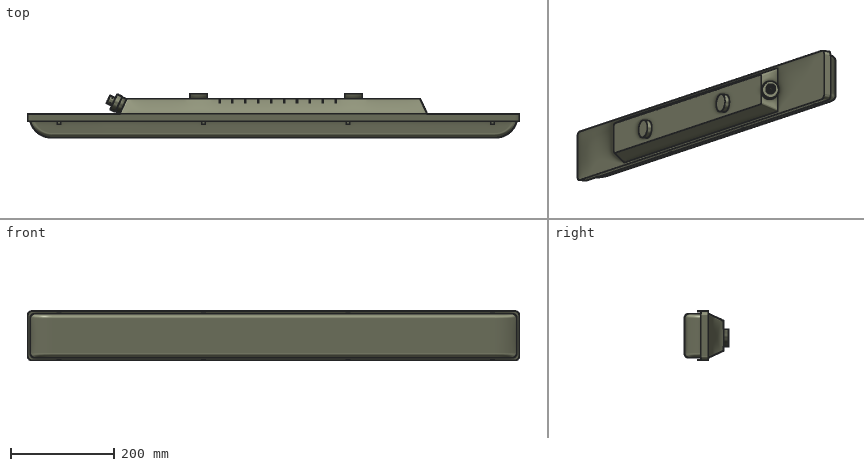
import cadquery as cq
import math

LENGTH = 953.0
WIDTH = 96.0
DEPTH = 86.0

FRAME_DEPTH = 14.5
FRAME_CORNER_RADIUS = 9.0

LENS_INSET = 5.0
LENS_DEPTH = 32.0
LENS_END_RADIUS = 44.0
LENS_EDGE_FILLET = 9.5

HOUSING_LENGTH = 596.0
HOUSING_WIDTH = 86.0
HOUSING_HEIGHT = 29.5
HOUSING_TAPER = 25.0
HOUSING_CORNER_RADIUS = 4.0

FITTING_Z = -4.0
KNOB_DIAMETER = 34.0
KNOB_HEIGHT = DEPTH - LENS_DEPTH - FRAME_DEPTH - HOUSING_HEIGHT
KNOB_SPACING = 300.0
KNOB_CENTER_X = 5.0

NOTCH_COUNT = 10
NOTCH_PITCH = 25.0
NOTCH_CENTER_X = 8.0
NOTCH_WIDTH = 2.0
NOTCH_HEIGHT = 5.0
NOTCH_RIM = 2.0
NOTCH_CUT = 2.0

CLIP_COUNT = 4
CLIP_PITCH = 280.0
CLIP_CENTER_X = 4.5
CLIP_WIDTH = 7.0
CLIP_THICKNESS = 1.5
CLIP_REACH = 5.5

GLAND_BASE_RADIUS = 15.5
GLAND_BASE_END = 9.5
GLAND_NUT_RADIUS = 16.5
GLAND_NUT_END = 20.5
GLAND_TIP_RADIUS = 8.5
GLAND_TIP_END = 32.0
GLAND_MOUTH_RADIUS = 6.0
GLAND_CABLE_RADIUS = 3.5
GLAND_MOUTH_DEPTH = 6.0
GLAND_ROOT = 5.0


def evenly_spaced(count, pitch, center):
    return [center + (i - (count - 1) / 2) * pitch for i in range(count)]


def make_frame():
    plate = cq.Workplane("XY").box(LENGTH, FRAME_DEPTH, WIDTH).translate((0, -FRAME_DEPTH / 2, 0))
    return plate.edges("|Y").fillet(FRAME_CORNER_RADIUS)


def make_lens():
    back_y = -FRAME_DEPTH
    front_y = back_y - LENS_DEPTH
    end_x = LENGTH / 2 - LENS_INSET
    rise = LENS_END_RADIUS - LENS_DEPTH
    arc_center_y = front_y + LENS_END_RADIUS
    arc_run = math.sqrt(LENS_END_RADIUS**2 - rise**2)
    flat_x = end_x - arc_run
    mid_angle = (math.asin(rise / LENS_END_RADIUS) + math.pi / 2) / 2
    mid_x = flat_x + LENS_END_RADIUS * math.cos(mid_angle)
    mid_y = arc_center_y - LENS_END_RADIUS * math.sin(mid_angle)
    lens_width = WIDTH - 2 * LENS_INSET
    body = (
        cq.Workplane("XY")
        .workplane(offset=-lens_width / 2)
        .moveTo(-end_x, back_y)
        .threePointArc((-mid_x, mid_y), (-flat_x, front_y))
        .lineTo(flat_x, front_y)
        .threePointArc((mid_x, mid_y), (end_x, back_y))
        .close()
        .extrude(lens_width)
    )
    rim = body.faces("<Z or >Z").edges().edges("not(>Y)")
    return body.newObject(rim.vals()).fillet(LENS_EDGE_FILLET)


def make_housing():
    body = (
        cq.Workplane("XZ")
        .rect(HOUSING_LENGTH, HOUSING_WIDTH)
        .extrude(-HOUSING_HEIGHT, taper=HOUSING_TAPER)
    )
    return body.edges("not(#Y)").fillet(HOUSING_CORNER_RADIUS)


def make_knobs():
    return (
        cq.Workplane("XZ", origin=(0, HOUSING_HEIGHT, 0))
        .pushPoints([(x, FITTING_Z) for x in evenly_spaced(2, KNOB_SPACING, KNOB_CENTER_X)])
        .circle(KNOB_DIAMETER / 2)
        .extrude(-KNOB_HEIGHT)
    )


def make_notches():
    slope = math.tan(math.radians(HOUSING_TAPER))
    center_y = HOUSING_HEIGHT - NOTCH_RIM - NOTCH_HEIGHT / 2
    flank_z = HOUSING_WIDTH / 2 - center_y * slope
    cutter = cq.Workplane("XY").box(NOTCH_WIDTH, NOTCH_HEIGHT, 2 * NOTCH_CUT)
    cutter = cutter.rotate((0, 0, 0), (1, 0, 0), -HOUSING_TAPER)
    notches = cq.Workplane("XY")
    for x in evenly_spaced(NOTCH_COUNT, NOTCH_PITCH, NOTCH_CENTER_X):
        notches = notches.add(cutter.translate((x, center_y, flank_z)))
    return notches.combine()


def make_clips():
    z_center = (WIDTH - CLIP_THICKNESS) / 2
    clip_xs = evenly_spaced(CLIP_COUNT, CLIP_PITCH, CLIP_CENTER_X)
    places = [(x, z) for x in clip_xs for z in (-z_center, z_center)]
    return (
        cq.Workplane("XZ")
        .pushPoints(places)
        .rect(CLIP_WIDTH, CLIP_THICKNESS)
        .extrude(FRAME_DEPTH + CLIP_REACH)
    )


def gland_plane():
    tilt = math.radians(HOUSING_TAPER)
    face_y = HOUSING_HEIGHT / 2
    face_x = -HOUSING_LENGTH / 2 + face_y * math.tan(tilt)
    normal = (-math.cos(tilt), math.sin(tilt), 0)
    return cq.Plane(origin=(face_x, face_y, FITTING_Z), xDir=(0, 0, 1), normal=normal)


def make_gland():
    base = cq.Workplane(gland_plane())
    steps = [
        (-GLAND_ROOT, GLAND_BASE_END, GLAND_BASE_RADIUS),
        (GLAND_BASE_END, GLAND_NUT_END, GLAND_NUT_RADIUS),
        (GLAND_NUT_END, GLAND_TIP_END, GLAND_TIP_RADIUS),
    ]
    gland = cq.Workplane("XY")
    for start, end, radius in steps:
        gland = gland.add(base.workplane(offset=start).circle(radius).extrude(end - start))
    mouth_start = GLAND_TIP_END - GLAND_MOUTH_DEPTH
    bore = base.circle(GLAND_CABLE_RADIUS).extrude(GLAND_TIP_END)
    mouth = base.workplane(offset=mouth_start).circle(GLAND_MOUTH_RADIUS).extrude(GLAND_MOUTH_DEPTH)
    return gland.combine().cut(bore).cut(mouth)


result = make_frame().union(make_lens()).union(make_clips())
result = result.union(make_housing().cut(make_notches()))
result = result.union(make_knobs()).union(make_gland())